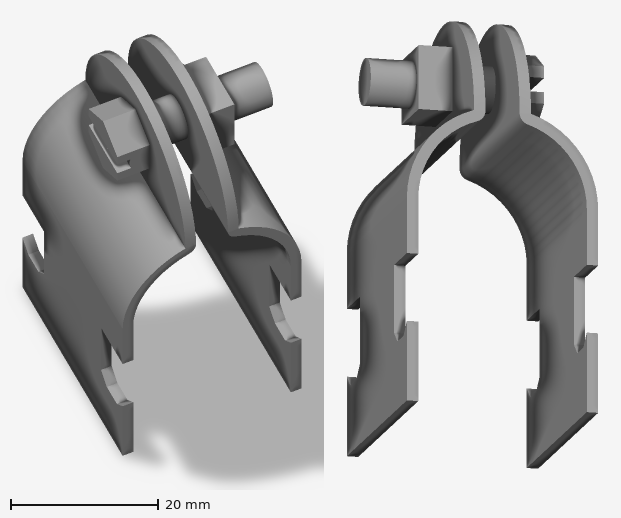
import cadquery as cq
import math

width = 31.8
height = 57.15
thickness = 1.6
outer_radius = 13.45
shoulder_z = 28.45
ear_gap = 4.8

notch_top = 20.65
notch_bottom = 9.5
neck_width = 18.05
notch_corner_width = 1.85
notch_corner_height = 1.65

bolt_z = 48.4
bolt_diameter = 6.5
bolt_end_y = 15.15
head_across_flats = 9.1
head_height = 4.85
slot_width = 2.0
slot_depth = 2.05
nut_side = 9.0
nut_height = 4.75

inner_radius = outer_radius - thickness
ear_inner = ear_gap / 2
ear_outer = ear_inner + thickness
bend_angle = math.acos(ear_outer / outer_radius)
bend_z = shoulder_z + outer_radius * math.sin(bend_angle)
head_across_corners = head_across_flats / math.cos(math.pi / 6)


def shoulder_point(radius, angle):
    """Point in the YZ plane on an arc around the shoulder centre."""
    return (radius * math.cos(angle), shoulder_z + radius * math.sin(angle))


def cylinder_along_y(diameter, start_y, end_y):
    """Cylinder on the bolt axis between two Y positions."""
    center = cq.Vector(0, start_y, bolt_z)
    return cq.Workplane(
        cq.Solid.makeCylinder(diameter / 2, end_y - start_y, center, cq.Vector(0, 1, 0))
    )


def make_bent_strip():
    """Leg, curved shoulder and upright ear, on the +Y side."""
    bend_middle_angle = (math.pi + math.pi + bend_angle) / 2
    bend_middle = (
        ear_outer + thickness * math.cos(bend_middle_angle),
        bend_z + thickness * math.sin(bend_middle_angle),
    )
    return (
        cq.Workplane("YZ")
        .moveTo(outer_radius, 0)
        .lineTo(outer_radius, shoulder_z)
        .threePointArc(shoulder_point(outer_radius, bend_angle / 2), (ear_outer, bend_z))
        .lineTo(ear_outer, height)
        .lineTo(ear_inner, height)
        .lineTo(ear_inner, bend_z)
        .threePointArc(bend_middle, shoulder_point(inner_radius, bend_angle))
        .threePointArc(shoulder_point(inner_radius, bend_angle / 2), (inner_radius, shoulder_z))
        .lineTo(inner_radius, 0)
        .close()
        .extrude(width / 2, both=True)
    )


def make_face_outline():
    """Round-topped block that trims the strip to its outline."""
    half_width = width / 2
    round_z = height - half_width
    return (
        cq.Workplane("XZ")
        .moveTo(-half_width, 0)
        .lineTo(half_width, 0)
        .lineTo(half_width, round_z)
        .threePointArc((0, height), (-half_width, round_z))
        .close()
        .extrude(-outer_radius)
    )


def make_notch(side):
    """Notch through one leg edge, with both lower corners cut off."""
    neck_x = neck_width / 2
    edge_x = width / 2
    corner_z = notch_bottom + notch_corner_height
    outline = [
        (neck_x, notch_top),
        (neck_x, corner_z),
        (neck_x + notch_corner_width, notch_bottom),
        (edge_x - notch_corner_width, notch_bottom),
        (edge_x, corner_z),
        (edge_x, notch_top),
    ]
    points = [(side * x, z) for x, z in outline]
    return cq.Workplane("XZ").polyline(points).close().extrude(-outer_radius)


def make_clamp_half(side):
    """One clamp half; side is +1 or -1 along Y."""
    half = make_bent_strip().intersect(make_face_outline())
    for notch_side in (-1, 1):
        half = half.cut(make_notch(notch_side))
    half = half.cut(cylinder_along_y(bolt_diameter, 0, ear_outer))
    if side < 0:
        half = half.mirror("XZ")
    return half


def make_bolt():
    """Slotted hexagon bolt with its head against the -Y ear."""
    head = (
        cq.Workplane("XZ", origin=(0, -ear_outer, bolt_z))
        .transformed(rotate=(0, 0, 90))
        .polygon(6, head_across_corners)
        .extrude(head_height)
    )
    slot_center_y = -ear_outer - head_height + slot_depth / 2
    slot = cq.Workplane("XY", origin=(0, slot_center_y, bolt_z)).box(
        head_across_corners, slot_depth, slot_width
    )
    shank = cylinder_along_y(bolt_diameter, -ear_outer, bolt_end_y)
    return head.cut(slot).union(shank)


def make_nut():
    """Square nut against the +Y ear."""
    nut_end_y = ear_outer + nut_height
    block = (
        cq.Workplane("XZ", origin=(0, ear_outer, bolt_z))
        .rect(nut_side, nut_side)
        .extrude(-nut_height)
    )
    return block.cut(cylinder_along_y(bolt_diameter, ear_outer, nut_end_y))


clamp_halves = [make_clamp_half(side) for side in (-1, 1)]
bolt = make_bolt()
nut = make_nut()

result = cq.Compound.makeCompound([*(half.val() for half in clamp_halves), bolt.val(), nut.val()])